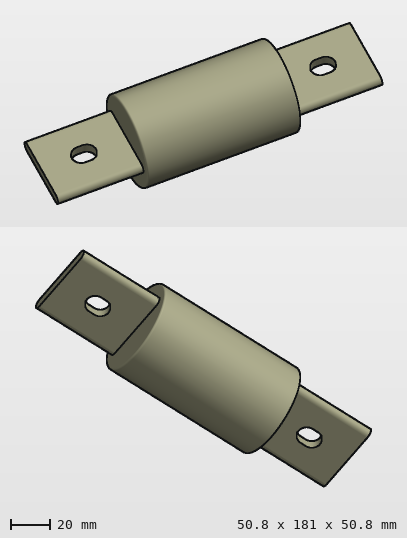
import cadquery as cq

body_diameter = 50.8
body_length = 85.725
body_edge_fillet = 1.016

overall_length = 180.97
blade_width = 41.275
blade_thickness = 6.35

slot_width = 10.32
slot_length = 13.49
slot_spacing = 133.35


def make_body():
    """Solid cylinder with softened end rims."""
    cylinder = (
        cq.Workplane("XZ", origin=(0, body_length / 2, 0))
        .circle(body_diameter / 2)
        .extrude(body_length)
    )
    return cylinder.edges("%CIRCLE").fillet(body_edge_fillet)


def make_blade():
    """Full-length blade whose section is a flat bar with half-round edges."""
    return (
        cq.Workplane("XZ", origin=(0, overall_length / 2, 0))
        .slot2D(blade_width, blade_thickness)
        .extrude(overall_length)
    )


def make_slots():
    """Cutters for the two mounting slots, through the blade thickness."""
    return (
        cq.Workplane("XY")
        .pushPoints([(0, side * slot_spacing / 2) for side in (-1, 1)])
        .slot2D(slot_length, slot_width, angle=90)
        .extrude(blade_thickness, both=True)
    )


result = make_body().union(make_blade()).cut(make_slots())